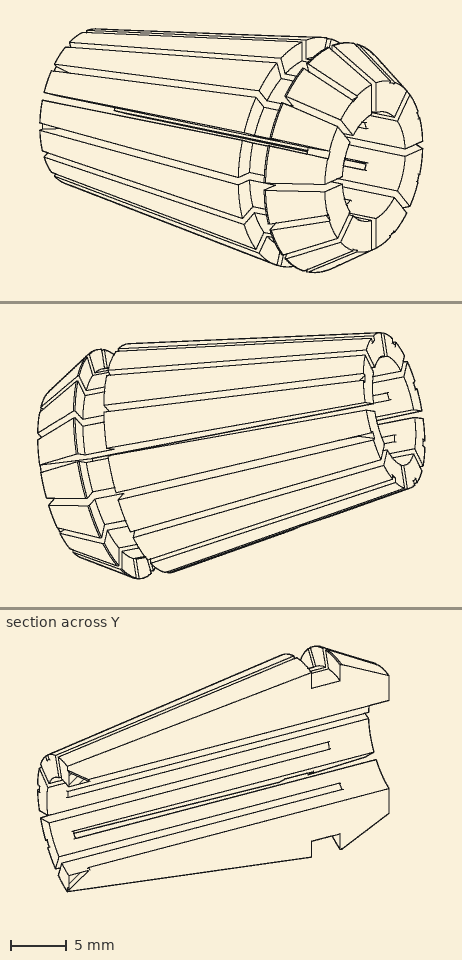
import cadquery as cq
import math

LENGTH = 31.5
MAX_RADIUS = 10.5
BORE_RADIUS = 5.0

TAPER_LENGTH = 23.9
TAPER_ANGLE = 8.0
GROOVE_WIDTH = 2.8
GROOVE_RADIUS = 8.7
LIP_WIDTH = 0.15
NOSE_ANGLE = 30.0

SLOT_COUNT = 8
SLOT_WIDTH = 0.7
SAW_RADIUS = 50.02
TAIL_FLOOR_RADIUS = 6.7
TAIL_FLOOR_SLOPE = 41.0
NOSE_FLOOR_RADIUS = 7.7
NOSE_FLOOR_SLOPE = 36.2
SLOT_INNER_RADIUS = BORE_RADIUS / 2
SLOT_OUTER_RADIUS = MAX_RADIUS + SLOT_WIDTH

lip_start = TAPER_LENGTH + GROOVE_WIDTH
nose_start = lip_start + LIP_WIDTH
tail_radius = MAX_RADIUS - TAPER_LENGTH * math.tan(math.radians(TAPER_ANGLE))
nose_radius = MAX_RADIUS - (LENGTH - nose_start) * math.tan(math.radians(NOSE_ANGLE))
slot_spacing = 360.0 / SLOT_COUNT


def make_body():
    """Revolve the half section of the collet, bore included, about the X axis."""
    half_section = [
        (0, BORE_RADIUS),
        (0, tail_radius),
        (TAPER_LENGTH, MAX_RADIUS),
        (TAPER_LENGTH, GROOVE_RADIUS),
        (lip_start, GROOVE_RADIUS),
        (lip_start, MAX_RADIUS),
        (nose_start, MAX_RADIUS),
        (LENGTH, nose_radius),
        (LENGTH, BORE_RADIUS),
    ]
    return cq.Workplane("XY").polyline(half_section).close().revolve(360, (0, 0, 0), (1, 0, 0))


def slot_cutter(floor_radius, floor_slope):
    """Slot along +Z, open at the nose, with a saw-rim floor that runs out of the face at X = 0."""
    slope = math.radians(floor_slope)
    saw_x = SAW_RADIUS * math.sin(slope)
    saw_z = floor_radius + SAW_RADIUS * math.cos(slope)

    def floor_point(radius):
        return (saw_x - math.sqrt(SAW_RADIUS**2 - (saw_z - radius) ** 2), radius)

    middle_radius = (floor_radius + SLOT_INNER_RADIUS) / 2
    return (
        cq.Workplane("XZ")
        .moveTo(0, SLOT_OUTER_RADIUS)
        .lineTo(0, floor_radius)
        .threePointArc(floor_point(middle_radius), floor_point(SLOT_INNER_RADIUS))
        .lineTo(LENGTH, SLOT_INNER_RADIUS)
        .lineTo(LENGTH, SLOT_OUTER_RADIUS)
        .close()
        .extrude(SLOT_WIDTH / 2, both=True)
    )


def cut_slots(body, cutter, first_angle):
    """Cut one evenly spaced set of slots around the axis."""
    for index in range(SLOT_COUNT):
        angle = first_angle + index * slot_spacing
        body = body.cut(cutter.rotate((0, 0, 0), (1, 0, 0), angle))
    return body


nose_open_cutter = slot_cutter(TAIL_FLOOR_RADIUS, TAIL_FLOOR_SLOPE)
tail_open_cutter = slot_cutter(NOSE_FLOOR_RADIUS, NOSE_FLOOR_SLOPE).mirror("YZ").translate((LENGTH, 0, 0))

result = make_body()
result = cut_slots(result, nose_open_cutter, 0.0)
result = cut_slots(result, tail_open_cutter, slot_spacing / 2)